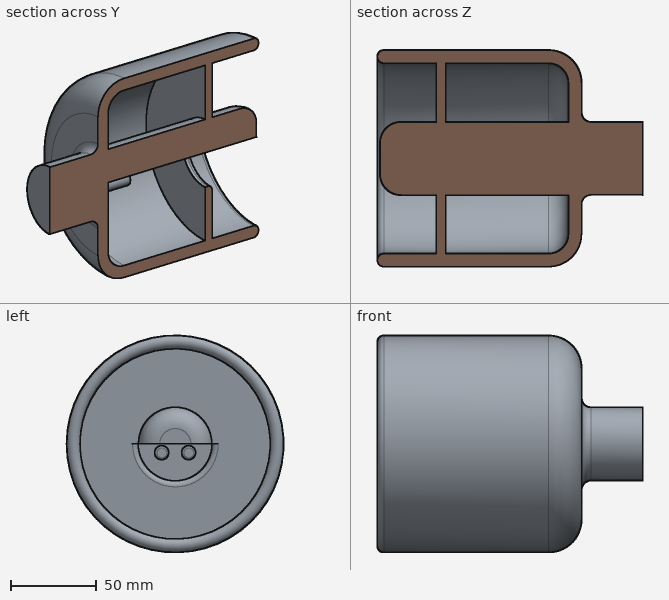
import cadquery as cq

cup_radius = 63.265
bore_radius = 55.4
cup_length = 119.2
floor_x = 34.4
wall_thickness = cup_radius - bore_radius
rim_radius = wall_thickness / 2
shoulder_radius = 19.4

overall_length = 154.76
neck_radius = 21.4
neck_fillet = 5.3

core_radius = neck_radius
core_tip_x = 1.6
core_tip_fillet = 12.3

floor_thickness = 5.6
window_radius = 21.5
window_fillet = 3.4
chamber_start_x = floor_x + floor_thickness

chamber_end_x = cup_length - wall_thickness
chamber_fillet = shoulder_radius - wall_thickness

pin_radius = 4.1
pin_tip_fillet = 1.2
pin_spacing = 15.7
pin_drop = 5.1
pin_length = 20


def revolve_about_x(profile):
    """Turn a closed profile, drawn as (x, radius) in the XY plane, about the X axis."""
    return profile.close().revolve(360, (0, 0, 0), (1, 0, 0))


def cylinder_along_x(start_x, end_x, radius, y=0, z=0):
    disc = cq.Workplane("YZ", origin=(start_x, 0, 0)).center(y, z).circle(radius)
    return disc.extrude(end_x - start_x)


def half_space(side):
    """Large box above (side = 1) or below (side = -1) the plane z = 0."""
    size = 2 * overall_length
    return cq.Workplane("XY").box(size, size, size).translate((0, 0, side * size / 2))


def make_cup_and_neck():
    profile = (
        cq.Workplane("XY")
        .moveTo(floor_x, 0)
        .lineTo(floor_x, bore_radius)
        .lineTo(rim_radius, bore_radius)
        .threePointArc((0, bore_radius + rim_radius), (rim_radius, cup_radius))
        .lineTo(cup_length - shoulder_radius, cup_radius)
        .radiusArc((cup_length, cup_radius - shoulder_radius), shoulder_radius)
        .lineTo(cup_length, neck_radius + neck_fillet)
        .radiusArc((cup_length + neck_fillet, neck_radius), -neck_fillet)
        .lineTo(overall_length, neck_radius)
        .lineTo(overall_length, 0)
    )
    return revolve_about_x(profile)


def make_core():
    bar = cylinder_along_x(core_tip_x, chamber_end_x, core_radius)
    return bar.faces("<X").edges().fillet(core_tip_fillet).intersect(half_space(1))


def make_chamber():
    profile = (
        cq.Workplane("XY")
        .moveTo(chamber_start_x, 0)
        .lineTo(chamber_start_x, bore_radius)
        .lineTo(chamber_end_x - chamber_fillet, bore_radius)
        .radiusArc((chamber_end_x, bore_radius - chamber_fillet), chamber_fillet)
        .lineTo(chamber_end_x, 0)
    )
    return revolve_about_x(profile)


def make_window():
    profile = (
        cq.Workplane("XY")
        .moveTo(floor_x, 0)
        .lineTo(floor_x, window_radius + window_fillet)
        .radiusArc((floor_x + window_fillet, window_radius), -window_fillet)
        .lineTo(chamber_start_x, window_radius)
        .lineTo(chamber_start_x, 0)
    )
    return revolve_about_x(profile).intersect(half_space(-1))


def make_pin(y):
    pin = cylinder_along_x(chamber_end_x - pin_length, chamber_end_x, pin_radius, y, -pin_drop)
    return pin.faces("<X").edges().fillet(pin_tip_fillet)


result = make_cup_and_neck().cut(make_chamber()).cut(make_window()).union(make_core())
for side in (-1, 1):
    result = result.union(make_pin(side * pin_spacing / 2))